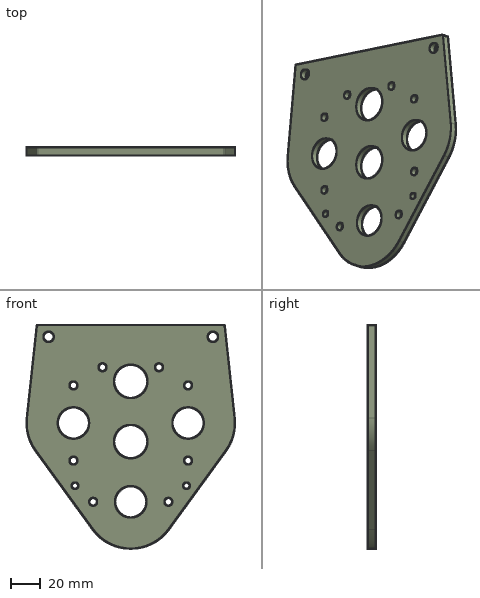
import cadquery as cq
import math

height = 151.2
thickness = 5.6
top_half_width = 63.5
top_corner_radius = 1.0
lobe_radius = 31.8

outer_opening_diameter = 21.0
center_opening_diameter = 22.4
side_opening_x = 38.7
side_opening_z = 85.0
bottom_opening_z = lobe_radius
center_opening_heights = (72.5, 113.1)

corner_hole_diameter = 6.8
corner_hole_places = [(55.5, 143.2)]
screw_hole_diameter = 5.1
screw_hole_spacing = 25.4
upper_screw_place = (19.0, 122.7)
screw_hole_places = [
    upper_screw_place,
    (side_opening_x, side_opening_z + screw_hole_spacing),
    (side_opening_x, side_opening_z - screw_hole_spacing),
    (screw_hole_spacing, bottom_opening_z),
]
pin_hole_diameter = 4.2
pin_hole_places = [(37.7, 42.6)]


def back_plane():
    """Sketch plane on the back face; extrusions from it run toward -Y."""
    return cq.Workplane("XZ", origin=(0, thickness / 2, 0))


def lobe_point(center_x, center_z, angle):
    """Point on a lobe at an angle measured from +X toward +Z."""
    return (
        center_x + lobe_radius * math.cos(angle),
        center_z + lobe_radius * math.sin(angle),
    )


def mirror_point(point):
    return (-point[0], point[1])


def make_plate():
    """Plate outline: a flat top, tapered sides and three tangent lobes."""
    lower_angle = math.atan2(side_opening_z - bottom_opening_z, side_opening_x) - math.pi / 2
    corner_dx = top_half_width - side_opening_x
    corner_dz = height - side_opening_z
    corner_angle = math.atan2(corner_dz, corner_dx)
    upper_angle = corner_angle - math.acos(lobe_radius / math.hypot(corner_dx, corner_dz))

    top_corner = (top_half_width, height)
    side_start = lobe_point(side_opening_x, side_opening_z, upper_angle)
    side_middle = lobe_point(side_opening_x, side_opening_z, (upper_angle + lower_angle) / 2)
    side_end = lobe_point(side_opening_x, side_opening_z, lower_angle)
    bottom_start = lobe_point(0, bottom_opening_z, lower_angle)

    outline = (
        back_plane()
        .moveTo(*mirror_point(top_corner))
        .lineTo(*top_corner)
        .lineTo(*side_start)
        .threePointArc(side_middle, side_end)
        .lineTo(*bottom_start)
        .threePointArc((0, 0), mirror_point(bottom_start))
        .lineTo(*mirror_point(side_end))
        .threePointArc(mirror_point(side_middle), mirror_point(side_start))
        .close()
    )
    plate = outline.extrude(thickness)
    return plate.faces(">Z").edges("|Y").fillet(top_corner_radius)


def cut_holes(plate, places, diameter):
    """Cut round holes through the full thickness."""
    holes = back_plane().pushPoints(places).circle(diameter / 2).extrude(thickness)
    return plate.cut(holes)


def both_sides(places):
    return places + [mirror_point(place) for place in places]


outer_openings = both_sides([(side_opening_x, side_opening_z)]) + [(0, bottom_opening_z)]
center_openings = [(0, z) for z in center_opening_heights]

result = make_plate()
result = cut_holes(result, outer_openings, outer_opening_diameter)
result = cut_holes(result, center_openings, center_opening_diameter)
result = cut_holes(result, both_sides(corner_hole_places), corner_hole_diameter)
result = cut_holes(result, both_sides(screw_hole_places), screw_hole_diameter)
result = cut_holes(result, both_sides(pin_hole_places), pin_hole_diameter)